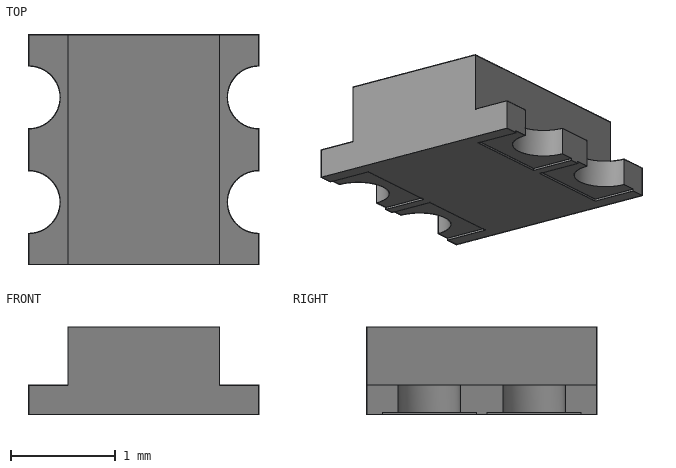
import cadquery as cq

side = 2.2
total_height = 0.84
base_height = 0.282
body_width = 1.45

notch_radius = 0.3
notch_pitch = 1.0

pad_length = 0.9
pad_reach = pad_length / 2
pad_depth = 0.02

base = cq.Workplane("XY").box(side, side, base_height, centered=(True, True, False))
body = cq.Workplane("XY").box(body_width, side, total_height, centered=(True, True, False))

notch_centers = [
    (x_sign * side / 2, y_sign * notch_pitch / 2)
    for x_sign in (-1, 1)
    for y_sign in (-1, 1)
]

notches = (
    cq.Workplane("XY")
    .pushPoints(notch_centers)
    .circle(notch_radius)
    .extrude(base_height)
)

pad_recesses = (
    cq.Workplane("XY")
    .pushPoints(notch_centers)
    .rect(2 * pad_reach, pad_length)
    .extrude(pad_depth)
)

result = base.union(body).cut(notches).cut(pad_recesses)